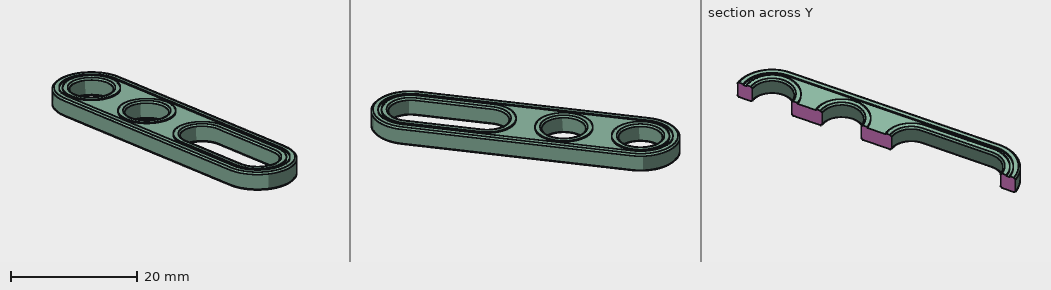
import cadquery as cq

pitch = 12.5
pitch_count = 4
thickness = pitch / 4
hole_diameter = 7.0
rim_diameter = 9.2
border_width = 1.1
recess_depth = 0.2
edge_chamfer = 0.3

length = pitch * pitch_count
first_center_x = (pitch - length) / 2
hole_centers_x = [first_center_x, first_center_x + pitch]
slot_start_x = first_center_x + 2 * pitch
last_center_x = first_center_x + (pitch_count - 1) * pitch
recess_floor = thickness - recess_depth

openings = [(x, x) for x in hole_centers_x] + [(slot_start_x, last_center_x)]


def rounded_bar(start_x, end_x, width, base_z, height):
    """Prism with semicircular ends centred at start_x and end_x, or a cylinder if they coincide."""
    plane = cq.Workplane("XY", origin=((start_x + end_x) / 2, 0, base_z))
    if start_x == end_x:
        return plane.circle(width / 2).extrude(height)
    return plane.slot2D(end_x - start_x + width, width).extrude(height)


def make_body():
    """Round-ended bar with chamfered top and bottom edges."""
    body = rounded_bar(first_center_x, last_center_x, pitch, 0, thickness)
    return body.faces("<Z or >Z").edges().chamfer(edge_chamfer)


def make_recess():
    """Shallow panel volume inside the border, leaving a rim around every opening."""
    panel_width = pitch - 2 * border_width
    panel = rounded_bar(first_center_x, last_center_x, panel_width, recess_floor, recess_depth)
    for start_x, end_x in openings:
        panel = panel.cut(rounded_bar(start_x, end_x, rim_diameter, recess_floor, recess_depth))
    return panel


def make_opening(start_x, end_x):
    """Through opening that flares out at 45 degrees at the top and bottom faces."""
    mouth_width = hole_diameter + 2 * edge_chamfer
    opening = rounded_bar(start_x, end_x, hole_diameter, 0, thickness)
    for mouth_z, inner_side in ((0, ">Z"), (thickness, "<Z")):
        flare = rounded_bar(start_x, end_x, mouth_width, mouth_z - edge_chamfer, 2 * edge_chamfer)
        opening = opening.union(flare.faces(inner_side).edges().chamfer(edge_chamfer))
    return opening


result = make_body().cut(make_recess())
for start_x, end_x in openings:
    result = result.cut(make_opening(start_x, end_x))